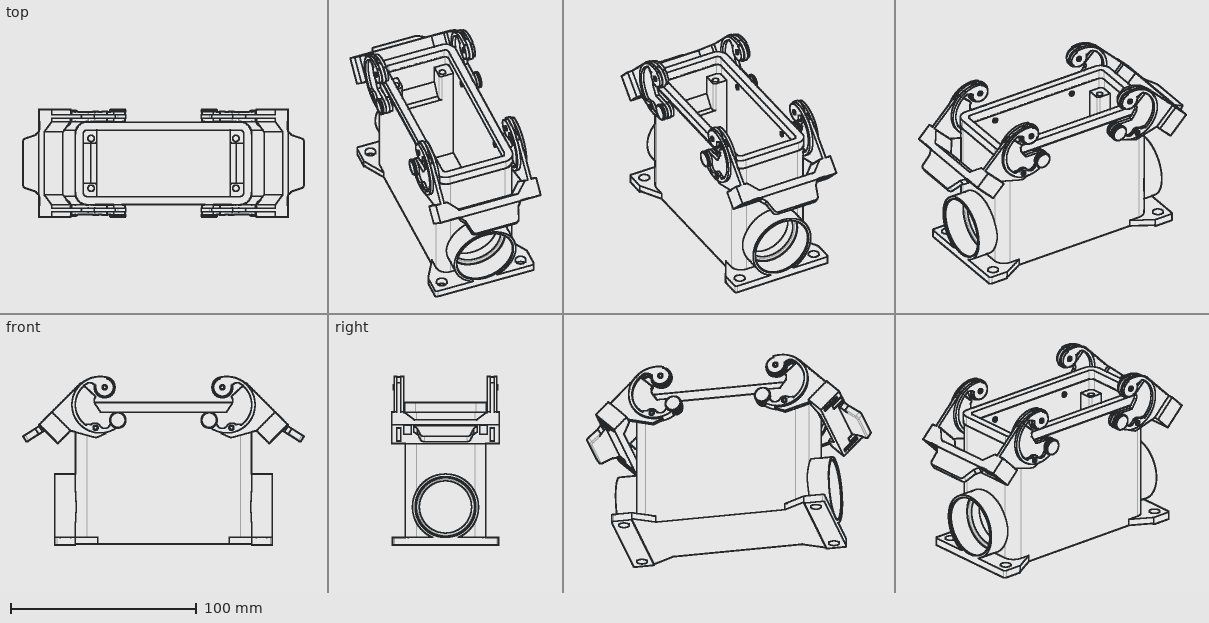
import cadquery as cq
import math

DIAGONAL = math.sqrt(0.5)

overall_length = 151.49

body_half_x = 47.4
body_half_y = 21.75
body_bottom = 0.6
ledge_z = 71.7
rim_z = 77.0
rim_overhang_x = 0.1
rim_overhang_y = 0.45
corner_radius = 6.0

cavity_half_x = 43.2
cavity_half_y = 17.9
cavity_corner = 2.0
cavity_undercut = 0.7
floor_z = 4.2
lower_half_x = cavity_half_x + cavity_undercut
lower_half_y = cavity_half_y + cavity_undercut
wall_overlap = 1.0

shelf_x = 36.0
shelf_z = 47.3
slope_foot_x = 39.2
slope_top_z = 54.0

post_top_z = 65.0
post_inner_y = 10.7
post_hole_x = 39.0
post_hole_y = 13.4
post_corner = 1.2
post_hole_radius = 1.7
post_hole_depth = 12.0

collar_end_x = 58.7
collar_z = 20.6
collar_radius = 17.8
collar_bore = 16.1
collar_bore_end = 47.0
collar_chamfer = 0.3
entry_step_radius = 15.75
entry_step = 1.6
entry_step_fillet = 0.7
entry_radius = 14.05
entry_end = 40.0

foot_half_y = 28.6
foot_top_z = 4.2
foot_pad_x = 47.5
foot_taper_x = 35.5
foot_corner = 1.1
foot_hole_inset = 5.8
foot_hole_radius = 2.85

ring_x = -34.1
ring_z = 75.7
ring_outer = 15.24
ring_inner = 13.4
tip_x = -31.7
tip_z = 85.05
tip_plate_radius = 5.6
tip_cover_radius = 4.8
button_x = -24.6
button_z = 67.4
button_radius = 4.3
button_cover_radius = 4.0
button_chamfer = 0.35
rivet_x = -36.6
rivet_z = 63.25
rivet_radius = 1.35
rivet_recess_radius = 0.95
pin_ring_radius = 1.4
pin_radius = 0.7
pin_ring_depth = 0.4

lever_inner_y = 22.45
plate_inner_y = 24.2
plate_outer_y = 26.2
cover_outer_y = 27.7
rivet_height = 0.4
handle_half_y = 29.0
pivot_root_y = 21.0
pivot_radius = 2.5

handle_x = -67.1
handle_z = 64.85
handle_length = 9.8
handle_depth = 14.3
notch_start = 4.0
notch_narrow_y = 16.9
recess_depth = 0.3
plate_recess = (plate_inner_y, plate_outer_y, 2.6, 12.4)
side_recess = (18.4, 22.5, 0.4, 7.3)
arm_run = 15.8
grip_angle = 32.5
grip_tip_x = -overall_length / 2
grip_thickness = 3.7
grip_drop = 0.7
grip_root_y = 17.2
grip_neck_y = 15.2
grip_neck = 2.4
grip_tip_y = 13.0
grip_corner = 2.0
grip_edge = 0.7
grip_overlap = 4.0


def block(x0, x1, y0, y1, z0, z1):
    return cq.Workplane("XY").box(x1 - x0, y1 - y0, z1 - z0, centered=False).translate((x0, y0, z0))


def rounded_block(half_x, half_y, z0, z1, radius):
    return block(-half_x, half_x, -half_y, half_y, z0, z1).edges("|Z").fillet(radius)


def slab(points, y0, y1):
    """Prism with an outline in X and Z, lying between two Y levels."""
    return cq.Workplane("XZ", origin=(0, y0, 0)).polyline(points).close().extrude(y0 - y1)


def disc(x, z, radius, y0, y1):
    """Cylinder along Y between two Y levels."""
    return cq.Workplane("XZ", origin=(x, y0, z)).circle(radius).extrude(y0 - y1)


def rod(radius, x0, x1):
    """Cylinder along the axis of the cable entries."""
    return cq.Workplane("YZ", origin=(x0, 0, collar_z)).circle(radius).extrude(x1 - x0)


def both_ends(shape):
    return shape.union(shape.mirror("YZ"))


def both_sides(shape):
    return shape.union(shape.mirror("XZ"))


def make_shell():
    shell = rounded_block(body_half_x, body_half_y, body_bottom, ledge_z, corner_radius)
    rim_half_x = body_half_x + rim_overhang_x
    rim_half_y = body_half_y + rim_overhang_y
    return shell.union(rounded_block(rim_half_x, rim_half_y, ledge_z, rim_z, corner_radius))


def make_cavity():
    cavity = rounded_block(cavity_half_x, cavity_half_y, floor_z, rim_z, cavity_corner)
    return cavity.union(rounded_block(lower_half_x, lower_half_y, floor_z, ledge_z, cavity_corner))


def make_end_wall():
    """Thick lower part of the left end wall, with a sloped shoulder."""
    outline = [
        (-lower_half_x - wall_overlap, floor_z - wall_overlap),
        (-shelf_x, floor_z - wall_overlap),
        (-shelf_x, shelf_z),
        (-slope_foot_x, shelf_z),
        (-lower_half_x, slope_top_z),
        (-lower_half_x - wall_overlap, slope_top_z),
    ]
    return slab(outline, -lower_half_y, lower_half_y)


def make_post():
    """Screw post in the left corner on the +Y side."""
    post = block(
        -lower_half_x - wall_overlap,
        -shelf_x,
        post_inner_y,
        lower_half_y + wall_overlap,
        floor_z - wall_overlap,
        post_top_z,
    )
    post = post.edges("|Z and >X and <Y").fillet(post_corner)
    top = cq.Workplane("XY", origin=(-post_hole_x, post_hole_y, post_top_z))
    return post.cut(top.circle(post_hole_radius).extrude(-post_hole_depth))


def make_foot():
    """Mounting foot at the left end, tapering into the body sides."""
    pad = block(-collar_end_x, -foot_pad_x, -foot_half_y, foot_half_y, 0, foot_top_z)
    pad = pad.edges("|Z and <X").fillet(foot_corner)
    taper = (
        cq.Workplane("XY", origin=(0, 0, body_bottom))
        .polyline(
            [
                (-foot_pad_x, -foot_half_y),
                (-foot_taper_x, -body_half_y),
                (-foot_taper_x, body_half_y),
                (-foot_pad_x, foot_half_y),
            ]
        )
        .close()
        .extrude(foot_top_z - body_bottom)
    )
    hole_y = foot_half_y - foot_hole_inset
    holes = (
        cq.Workplane("XY")
        .pushPoints([(-collar_end_x + foot_hole_inset, side * hole_y) for side in (-1, 1)])
        .circle(foot_hole_radius)
        .extrude(foot_top_z)
    )
    return pad.union(taper).cut(holes)


def make_entry_bore():
    """Blind cable entry: stepped collar bore, then a narrower recess in the end wall."""
    bore = rod(collar_bore, -collar_end_x, -collar_bore_end)
    step = rod(entry_step_radius, -collar_end_x, -collar_bore_end + entry_step)
    bore = bore.union(step.faces(">X").edges().fillet(entry_step_fillet))
    lead_in = rod(collar_bore + collar_chamfer, -collar_end_x, -collar_end_x + 2 * collar_chamfer)
    bore = bore.union(lead_in.faces(">X").chamfer(collar_chamfer))
    return bore.union(rod(entry_radius, -collar_end_x, -entry_end))


def make_pin_ring():
    """Ring groove around the end of the lever pin, in the cavity wall."""
    end = lower_half_y + pin_ring_depth
    groove = disc(button_x, button_z, pin_ring_radius, lower_half_y, end)
    return groove.cut(disc(button_x, button_z, pin_radius, lower_half_y, end))


def make_ring(y0, y1):
    """C-shaped ring, open from the button round to the hook tip."""
    ring = disc(ring_x, ring_z, ring_outer, y0, y1).cut(disc(ring_x, ring_z, ring_inner, y0, y1))
    reach = 2 * ring_outer
    mouth = [(ring_x, ring_z)]
    for x, z in ((button_x, button_z), (tip_x, tip_z)):
        angle = math.atan2(z - ring_z, x - ring_x)
        mouth.append((ring_x + reach * math.cos(angle), ring_z + reach * math.sin(angle)))
    return ring.cut(slab(mouth, y0, y1))


def make_hook_web(y0, y1):
    """Web that rounds the corner between the ring and the hook tip."""
    return (
        cq.Workplane("XZ", origin=(0, y0, 0))
        .moveTo(-43.2, 85.9)
        .threePointArc((-39.8, 87.5), (-37.0, 86.2))
        .lineTo(tip_x, tip_z)
        .lineTo(tip_x, tip_z + tip_cover_radius)
        .lineTo(ring_x, ring_z + (ring_inner + ring_outer) / 2)
        .threePointArc((-39.2, 89.1), (-43.2, 86.8))
        .close()
        .extrude(y0 - y1)
    )


def make_rivet_web(y0, y1):
    """Wavy inner edge of the ring: a lobe over the rivet, then a scallop up to the button."""
    web = (
        cq.Workplane("XZ", origin=(0, y0, 0))
        .moveTo(-41.3, 65.1)
        .lineTo(-39.0, 65.0)
        .threePointArc((-36.6, 65.8), (-34.1, 64.2))
        .threePointArc((-31.4, 62.9), (-28.8, 65.1))
        .lineTo(button_x, button_z)
        .lineTo(-28.0, 62.8)
        .lineTo(ring_x, 61.4)
        .lineTo(-42.0, 63.8)
        .close()
        .extrude(y0 - y1)
    )
    return web.intersect(disc(ring_x, ring_z, ring_outer, y0, y1))


def make_cover(y0, y1):
    """Layer that edges the plate: ring, hook tip, button seat and the webs between them."""
    cover = make_ring(y0, y1).union(disc(tip_x, tip_z, tip_cover_radius, y0, y1))
    cover = cover.union(disc(button_x, button_z, button_cover_radius, y0, y1))
    return cover.union(make_hook_web(y0, y1)).union(make_rivet_web(y0, y1))


def make_plate():
    """Middle layer of the lever: a web that fills part of the ring, and discs at tip and button."""
    y0, y1 = plate_inner_y, plate_outer_y
    plate = disc(tip_x, tip_z, tip_plate_radius, y0, y1)
    plate = plate.union(disc(button_x, button_z, button_radius, y0, y1))
    web_outline = [
        (ring_x - ring_outer, ring_z - ring_outer),
        (ring_x - ring_outer, ring_z + ring_outer),
        (-48.0, 90.8),
        (-36.5, 80.1),
        (-37.3, 78.6),
        (-37.1, 76.5),
        (-33.9, ledge_z),
        (button_x, ledge_z),
        (button_x, ring_z - ring_outer),
    ]
    web = slab(web_outline, y0, y1).intersect(disc(ring_x, ring_z, ring_outer, y0, y1))
    return plate.union(web)


def make_arm():
    """Flat arm from the handle bar to the ring, in line with the plate."""
    top_x = handle_x + handle_length * DIAGONAL
    top_z = handle_z + handle_length * DIAGONAL
    low_x = top_x + handle_depth * DIAGONAL
    low_z = top_z - handle_depth * DIAGONAL
    outline = [
        (top_x, top_z),
        (low_x, low_z),
        (-36.4, 57.9),
        (-31.0, 60.2),
        (ring_x, ring_z),
        (top_x + arm_run, top_z + arm_run),
    ]
    arm = slab(outline, plate_inner_y, plate_outer_y)
    return arm.cut(disc(ring_x, ring_z, ring_inner, plate_inner_y, plate_outer_y))


def make_rivet(x, z):
    """Hollow rivet head standing on the outer cover."""
    outer = cover_outer_y + rivet_height
    head = disc(x, z, rivet_radius, cover_outer_y, outer)
    return head.cut(disc(x, z, rivet_recess_radius, cover_outer_y, outer))


def make_rivet_groove(x, z):
    """Ring groove where the rivet is set flush into the inner cover."""
    end = lever_inner_y + rivet_height
    groove = disc(x, z, rivet_radius, lever_inner_y, end)
    return groove.cut(disc(x, z, rivet_recess_radius, lever_inner_y, end))


def make_lever_side():
    """Everything of the left lever on the +Y side, without the cross bar."""
    side = make_plate().union(make_arm())
    side = side.union(make_cover(lever_inner_y, plate_inner_y))
    side = side.union(make_cover(plate_outer_y, cover_outer_y))
    button = disc(button_x, button_z, button_radius, cover_outer_y, handle_half_y)
    side = side.union(button.faces(">Y").chamfer(button_chamfer))
    side = side.union(disc(button_x, button_z, pivot_radius, pivot_root_y, lever_inner_y))
    for x, z in ((rivet_x, rivet_z), (tip_x, tip_z)):
        side = side.union(make_rivet(x, z)).cut(make_rivet_groove(x, z))
    return side


def make_handle():
    """Cross bar of the left lever, notched so that it clears the end of the housing."""
    bar_corner = (handle_x, 0, handle_z)
    plane = cq.Plane(bar_corner, xDir=(0, 1, 0), normal=(1, 0, -1))
    bar = (
        cq.Workplane(plane)
        .polyline(
            [
                (-handle_half_y, 0),
                (handle_half_y, 0),
                (handle_half_y, handle_length),
                (lever_inner_y, handle_length),
                (notch_narrow_y, notch_start),
                (-notch_narrow_y, notch_start),
                (-lever_inner_y, handle_length),
                (-handle_half_y, handle_length),
            ]
        )
        .close()
        .extrude(handle_depth)
    )
    end_face = cq.Workplane(cq.Plane(bar_corner, xDir=(0, -1, 0), normal=(1, 0, 1)))
    for y0, y1, down0, down1 in (plate_recess, side_recess):
        centre = ((y0 + y1) / 2, (down0 + down1) / 2)
        recess = end_face.center(*centre).rect(y1 - y0, down1 - down0).extrude(recess_depth)
        bar = bar.cut(both_sides(recess))
    return bar


def make_grip():
    """Finger tab of the left lever, flaring where it meets the cross bar."""
    lean = math.radians(grip_angle)
    root_z = handle_z - grip_drop
    length = (handle_x - grip_tip_x) / math.cos(lean)
    plane = cq.Plane(
        origin=(handle_x, 0, root_z),
        xDir=(0, -1, 0),
        normal=(math.sin(lean), 0, -math.cos(lean)),
    )
    half = [
        (grip_root_y, -grip_overlap),
        (grip_root_y, 0),
        (grip_neck_y, grip_neck),
        (grip_tip_y, length),
    ]
    other_half = [(-y, u) for y, u in reversed(half)]
    grip = cq.Workplane(plane).polyline(half + other_half).close().extrude(grip_thickness)
    tip_edges = grip.faces("<X").edges("not(|Y)")
    return tip_edges.fillet(grip_corner).faces("<X").edges("|Y and <Z").fillet(grip_edge)


housing = make_shell().cut(make_cavity())
housing = housing.union(both_ends(make_end_wall()))
housing = housing.union(both_ends(both_sides(make_post())))
housing = housing.union(both_ends(make_foot()))
housing = housing.union(both_ends(rod(collar_radius, -collar_end_x, -cavity_half_x)))
housing = housing.cut(both_ends(make_entry_bore()))
housing = housing.cut(both_ends(both_sides(make_pin_ring())))

lever = both_sides(make_lever_side()).union(make_handle()).union(make_grip())
result = housing.union(both_ends(lever))